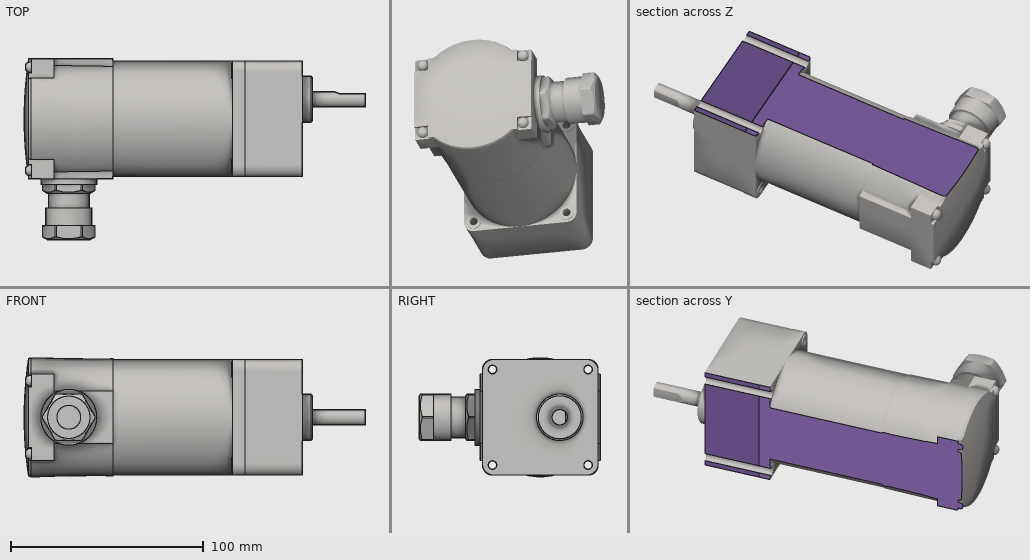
import cadquery as cq


COVER_FACE_X = 2.3
COVER_BAND_START_X = 3.5
COVER_SEAM_X = 8.1
BLOCK_END_X = 15.5
CAP_END_X = 46.0
FLANGE_START_X = 108.0
FLANGE_END_X = 114.5
GEARBOX_END_X = 144.3
PILOT_END_X = 149.5
SHAFT_END_X = 177.0

FLANGE_SIDE = 60.0
TUBE_RADIUS = FLANGE_SIDE / 2
FLANGE_CORNER_RADIUS = 5.3
MOUNT_HOLE_OFFSET = 24.8
MOUNT_HOLE_RADIUS = 2.1
SPOT_FACE_RADIUS = 3.9
SPOT_FACE_HEIGHT = 0.5

COVER_RADIUS = 61.8 / 2
DOME_RADIUS = 30.5
CAP_END_RADIUS = 60.7 / 2
CAP_HALF_WIDTH = 31.2
BLOCK_HALF_HEIGHT = 22.5
PAD_HALF_HEIGHT = 13.6
EDGE_ROUND = 0.5

POCKET_FLOOR_X = 3.9
POCKET_WIDTH = 7.5
POCKET_HEIGHT = 6.7
SCREW_Y = 26.7
SCREW_Z = 19.0
SCREW_HEAD_RADIUS = 5.5 / 2
SCREW_HEAD_HEIGHT = 3.2
SCREW_HEAD_ROUND = 2.1

GLAND_X = 23.2
WASHER_RADIUS = 14.5
WASHER_END = 2.8
LOCKNUT_END = 7.6
NECK_RADIUS = 10.6
NECK_END = 15.0
COLLAR_RADIUS = 24.0 / 2
COLLAR_END = 24.2
GLAND_LENGTH = 31.7
HEX_ACROSS_FLATS = 24.0
HEX_CORNER_RADIUS = 13.6
HEX_TURN = 30
HEX_FACE_RADIUS = 11.0
HEX_CHAMFER = 1.6
CABLE_RECESS_RADIUS = 6.2
CABLE_RECESS_DEPTH = 0.2

GEARBOX_CORNER_RADIUS = 5.8
SHAFT_Y = 10.1
PILOT_RADIUS = 12.0
PILOT_CHAMFER = 0.9
SHAFT_RADIUS = 8.0 / 2
SHAFT_FLAT_DEPTH = 1.0
SHAFT_FLAT_START_X = 160.7
SHAFT_FLAT_FULL_X = 163.5


def square_corners(y, z):
    """The four (Y, Z) positions at plus and minus y and z."""
    return [(side * y, level * z) for side in (-1, 1) for level in (-1, 1)]


def rod(start, end, radius):
    """Cylinder along X."""
    return cq.Workplane("YZ").workplane(offset=start).circle(radius).extrude(end - start)


def square_block(start, end, side, corner_radius):
    """Square block along X with rounded long edges."""
    block = cq.Workplane("YZ").workplane(offset=start).rect(side, side).extrude(end - start)
    return block.edges("|X").fillet(corner_radius)


def mount_holes():
    """The four through holes shared by the flange and the gearhead."""
    start = FLANGE_START_X - SPOT_FACE_HEIGHT
    corners = square_corners(MOUNT_HOLE_OFFSET, MOUNT_HOLE_OFFSET)
    holes = cq.Workplane("YZ").workplane(offset=start).pushPoints(corners)
    return holes.circle(MOUNT_HOLE_RADIUS).extrude(GEARBOX_END_X - start)


def cap_block(start, end, half_height):
    """Full-width block of the end cap with slightly rounded long edges."""
    block = cq.Workplane("YZ").workplane(offset=start)
    block = block.rect(2 * CAP_HALF_WIDTH, 2 * half_height).extrude(end - start)
    return block.edges("|X").fillet(EDGE_ROUND)


def end_cap():
    """Tapered round cap and domed cover, with screw blocks and flat side pads."""
    dome_midpoint = (COVER_FACE_X / 4, DOME_RADIUS / 2)
    shell = (
        cq.Workplane("XY")
        .moveTo(0, 0)
        .threePointArc(dome_midpoint, (COVER_FACE_X, DOME_RADIUS))
        .lineTo(COVER_BAND_START_X, COVER_RADIUS)
        .lineTo(COVER_SEAM_X, COVER_RADIUS)
        .lineTo(CAP_END_X, CAP_END_RADIUS)
        .lineTo(CAP_END_X, 0)
        .close()
        .revolve(360, (0, 0, 0), (1, 0, 0))
    )
    screw_blocks = cap_block(COVER_FACE_X, BLOCK_END_X, BLOCK_HALF_HEIGHT)
    side_pads = cap_block(COVER_FACE_X, CAP_END_X, PAD_HALF_HEIGHT)
    return shell.union(screw_blocks).union(side_pads)


def screw_pockets():
    """Open pockets in the four outer corners of the screw blocks."""
    centers = square_corners(CAP_HALF_WIDTH - POCKET_WIDTH / 2, BLOCK_HALF_HEIGHT - POCKET_HEIGHT / 2)
    pockets = cq.Workplane("YZ").pushPoints(centers)
    return pockets.rect(POCKET_WIDTH, POCKET_HEIGHT).extrude(POCKET_FLOOR_X)


def screw_head(y, z):
    """Round screw head standing on a pocket floor."""
    head = rod(POCKET_FLOOR_X - SCREW_HEAD_HEIGHT, POCKET_FLOOR_X, SCREW_HEAD_RADIUS)
    return head.faces("<X").edges().fillet(SCREW_HEAD_ROUND).translate((0, y, z))


def hex_nut(start, end):
    """Hexagon along X whose corners are turned down, with a conical outer end."""
    blank = (
        cq.Workplane("XY")
        .polyline([
            (start, 0),
            (start, HEX_CORNER_RADIUS),
            (end - HEX_CHAMFER, HEX_CORNER_RADIUS),
            (end, HEX_FACE_RADIUS),
            (end, 0),
        ])
        .close()
        .revolve(360, (0, 0, 0), (1, 0, 0))
    )
    hexagon = cq.Workplane("YZ").workplane(offset=start)
    hexagon = hexagon.polygon(6, HEX_ACROSS_FLATS, circumscribed=True).extrude(end - start)
    return hexagon.rotate((0, 0, 0), (1, 0, 0), HEX_TURN).intersect(blank)


def cable_gland():
    """Cable gland built along X, then turned to point to -Y from the side pad."""
    gland = rod(0, WASHER_END, WASHER_RADIUS)
    gland = gland.union(rod(0, NECK_END, NECK_RADIUS))
    gland = gland.union(rod(NECK_END, COLLAR_END, COLLAR_RADIUS))
    gland = gland.union(hex_nut(WASHER_END, LOCKNUT_END))
    gland = gland.union(hex_nut(COLLAR_END, GLAND_LENGTH))
    gland = gland.cut(rod(GLAND_LENGTH - CABLE_RECESS_DEPTH, GLAND_LENGTH, CABLE_RECESS_RADIUS))
    return gland.rotate((0, 0, 0), (0, 0, 1), -90).translate((GLAND_X, -CAP_HALF_WIDTH, 0))


def make_motor():
    """Motor body: end cap, screws, tube, flange with spot faces, and cable gland."""
    body = end_cap().cut(screw_pockets())
    for y, z in square_corners(SCREW_Y, SCREW_Z):
        body = body.union(screw_head(y, z))
    body = body.union(rod(CAP_END_X, FLANGE_START_X, TUBE_RADIUS))
    body = body.union(square_block(FLANGE_START_X, FLANGE_END_X, FLANGE_SIDE, FLANGE_CORNER_RADIUS))
    spot_face = rod(FLANGE_START_X - SPOT_FACE_HEIGHT, FLANGE_START_X, SPOT_FACE_RADIUS)
    for y, z in square_corners(MOUNT_HOLE_OFFSET, MOUNT_HOLE_OFFSET):
        body = body.union(spot_face.translate((0, y, z)))
    return body.union(cable_gland()).cut(mount_holes())


def shaft_flat():
    """Wedge-ended block that cuts the flat on the +Y side of the shaft."""
    flat_y = SHAFT_RADIUS - SHAFT_FLAT_DEPTH
    return (
        cq.Workplane("XY")
        .polyline([
            (SHAFT_FLAT_START_X, SHAFT_RADIUS),
            (SHAFT_FLAT_FULL_X, flat_y),
            (SHAFT_END_X, flat_y),
            (SHAFT_END_X, SHAFT_RADIUS),
        ])
        .close()
        .extrude(SHAFT_RADIUS, both=True)
    )


def make_gearhead():
    """Gearhead body: square gearbox, with the pilot and flatted shaft off centre toward +Y."""
    box = square_block(FLANGE_END_X, GEARBOX_END_X, FLANGE_SIDE, GEARBOX_CORNER_RADIUS)
    pilot = rod(GEARBOX_END_X, PILOT_END_X, PILOT_RADIUS).faces(">X").edges().chamfer(PILOT_CHAMFER)
    shaft = rod(PILOT_END_X, SHAFT_END_X, SHAFT_RADIUS).cut(shaft_flat())
    output = pilot.union(shaft).translate((0, SHAFT_Y, 0))
    return box.union(output).cut(mount_holes())


motor = make_motor()
gearhead = make_gearhead()
result = cq.Compound.makeCompound([motor.val(), gearhead.val()])